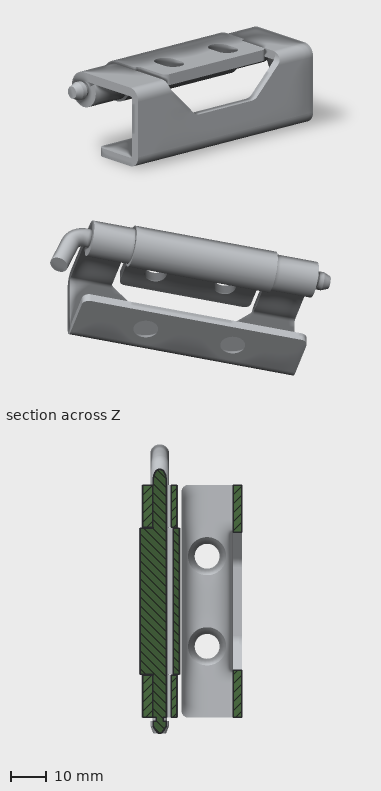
import cadquery as cq
import math

pin_radius = 2.6

bracket_thickness = 2.5
bracket_length = 65.15
bracket_knuckle_radius = pin_radius + bracket_thickness
bracket_end_angle = 29
web_outer_x = 23.0
flange_bottom_z = -17.9
flange_edge_x = 6.1
bend_outer_radius = 3.3
flange_corner_radius = 2.0
screw_x = 13.25
screw_spacing = 25.2
screw_radius = 3.5
countersink_radius = 5.3

opening_half_length = 20.6
window_bottom_z = -6.55
window_bottom_half_length = 11.0
window_side_angle = 45
window_fillet = 3.2

leaf_thickness = 3.2
leaf_half_length = 20.45
leaf_knuckle_radius = pin_radius + leaf_thickness
leaf_end_angle = 25
leaf_edge_x = 19.0
leaf_step_x = 7.9
leaf_narrow_half_length = 19.0
leaf_step_fillet = 0.65
leaf_corner_radius = 1.8
slot_x = 10.5
slot_length = 9.5
slot_width = 6.15
slot_spacing = 20.05

handle_bend_start_y = 33.5
handle_bend_radius = 5.0
handle_bend_angle = 70
handle_straight_length = 9.4
groove_radius = 2.0
head_start_y = -33.5
taper_start_y = -34.9
pin_tip_y = -36.9
pin_tip_radius = 1.8


def polar(radius, angle):
    return (radius * math.cos(math.radians(angle)), radius * math.sin(math.radians(angle)))


def extrude_along_y(profile, half_length):
    return profile.extrude(half_length, both=True)


def curled_plate(outer_radius, end_angle, edge_x, half_length):
    """Flat plate ending in a curl around the pin."""
    profile = (
        cq.Workplane("XZ")
        .moveTo(edge_x, outer_radius)
        .lineTo(0, outer_radius)
        .threePointArc(polar(outer_radius, 225), polar(outer_radius, end_angle))
        .lineTo(*polar(pin_radius, end_angle))
        .threePointArc(polar(pin_radius, 225), (0, pin_radius))
        .lineTo(edge_x, pin_radius)
        .close()
    )
    return extrude_along_y(profile, half_length)


def make_channel():
    """Web and lower flange, with the bent upper edge that joins the curled plate."""
    bend_inner_radius = bend_outer_radius - bracket_thickness
    bend_x = web_outer_x - bend_outer_radius
    upper_bend_z = bracket_knuckle_radius - bend_outer_radius
    lower_bend_z = flange_bottom_z + bend_outer_radius
    web_inner_x = web_outer_x - bracket_thickness
    profile = (
        cq.Workplane("XZ")
        .moveTo(bend_x, bracket_knuckle_radius)
        .radiusArc((web_outer_x, upper_bend_z), bend_outer_radius)
        .lineTo(web_outer_x, lower_bend_z)
        .radiusArc((bend_x, flange_bottom_z), bend_outer_radius)
        .lineTo(flange_edge_x, flange_bottom_z)
        .lineTo(flange_edge_x, flange_bottom_z + bracket_thickness)
        .lineTo(bend_x, flange_bottom_z + bracket_thickness)
        .radiusArc((web_inner_x, lower_bend_z), -bend_inner_radius)
        .lineTo(web_inner_x, upper_bend_z)
        .radiusArc((bend_x, pin_radius), -bend_inner_radius)
        .close()
    )
    channel = extrude_along_y(profile, bracket_length / 2)
    return channel.edges("|Z and <X").fillet(flange_corner_radius)


def make_leaf_opening():
    """Cutter that clears the curl and upper plate between the two knuckles."""
    left_x = -bracket_knuckle_radius
    right_x = web_outer_x - bracket_thickness
    height = 2 * bracket_knuckle_radius
    return cq.Workplane("XY").box(
        right_x - left_x, 2 * opening_half_length, height, centered=(False, True, True)
    ).translate((left_x, 0, 0))


def make_web_window():
    """Cutter for the web: vertical upper sides, sloping lower sides and a flat bottom."""
    side_run = opening_half_length - window_bottom_half_length
    slope_top_z = window_bottom_z + side_run * math.tan(math.radians(window_side_angle))
    top_z = bracket_knuckle_radius + window_fillet
    window_start_x = web_outer_x - bend_outer_radius
    return (
        cq.Workplane("YZ", origin=(window_start_x, 0, 0))
        .moveTo(-opening_half_length, top_z)
        .lineTo(-opening_half_length, slope_top_z)
        .lineTo(-window_bottom_half_length, window_bottom_z)
        .lineTo(window_bottom_half_length, window_bottom_z)
        .lineTo(opening_half_length, slope_top_z)
        .lineTo(opening_half_length, top_z)
        .close()
        .extrude(bend_outer_radius)
        .edges("|X and (not >Z)")
        .fillet(window_fillet)
    )


def make_countersink(y):
    """Conical screw hole through the lower flange, wide at the inner face."""
    return (
        cq.Workplane("XY", origin=(screw_x, y, flange_bottom_z))
        .circle(screw_radius)
        .workplane(offset=bracket_thickness)
        .circle(countersink_radius)
        .loft(ruled=True)
    )


def make_bracket():
    bend_x = web_outer_x - bend_outer_radius
    body = curled_plate(bracket_knuckle_radius, bracket_end_angle, bend_x, bracket_length / 2)
    body = body.union(make_channel())
    body = body.cut(make_leaf_opening()).cut(make_web_window())
    for side in (-1, 1):
        body = body.cut(make_countersink(side * screw_spacing / 2))
    return body


def make_leaf_outline():
    """Plan shape of the leaf: full length at the knuckle, stepped in towards the free edge."""
    left_x = -leaf_knuckle_radius
    outline = (
        cq.Workplane("XY", origin=(0, 0, -leaf_knuckle_radius))
        .moveTo(left_x, -leaf_half_length)
        .lineTo(leaf_step_x, -leaf_half_length)
        .lineTo(leaf_step_x, -leaf_narrow_half_length)
        .lineTo(leaf_edge_x, -leaf_narrow_half_length)
        .lineTo(leaf_edge_x, leaf_narrow_half_length)
        .lineTo(leaf_step_x, leaf_narrow_half_length)
        .lineTo(leaf_step_x, leaf_half_length)
        .lineTo(left_x, leaf_half_length)
        .close()
        .extrude(2 * leaf_knuckle_radius)
    )
    outline = outline.edges("|Z and >X").fillet(leaf_corner_radius)
    step_edges = cq.selectors.BoxSelector(
        (leaf_step_x - leaf_step_fillet, -bracket_length, -leaf_knuckle_radius),
        (leaf_step_x + leaf_step_fillet, bracket_length, leaf_knuckle_radius),
    )
    return outline.edges("|Z").edges(step_edges).fillet(leaf_step_fillet)


def make_leaf():
    leaf = curled_plate(leaf_knuckle_radius, leaf_end_angle, leaf_edge_x, leaf_half_length)
    slots = (
        cq.Workplane("XY", origin=(slot_x, 0, pin_radius))
        .pushPoints([(0, -slot_spacing / 2), (0, slot_spacing / 2)])
        .slot2D(slot_length, slot_width)
        .extrude(leaf_thickness)
    )
    return leaf.intersect(make_leaf_outline()).cut(slots)


def make_handle():
    """Round rod swept from the bracket end around the bend to the handle tip."""
    start_y = bracket_length / 2
    angle = math.radians(handle_bend_angle)

    def bend_point(turn):
        y = handle_bend_start_y + handle_bend_radius * math.sin(turn)
        return (y, handle_bend_radius * (math.cos(turn) - 1))

    bend_end_y, bend_end_z = bend_point(angle)
    tip_y = bend_end_y + handle_straight_length * math.cos(angle)
    tip_z = bend_end_z - handle_straight_length * math.sin(angle)
    path = (
        cq.Workplane("YZ")
        .moveTo(start_y, 0)
        .lineTo(handle_bend_start_y, 0)
        .threePointArc(bend_point(angle / 2), (bend_end_y, bend_end_z))
        .lineTo(tip_y, tip_z)
    )
    return cq.Workplane("XZ", origin=(0, start_y, 0)).circle(pin_radius).sweep(path)


def make_pin():
    face_y = bracket_length / 2
    shaft = (
        cq.Workplane("XY")
        .moveTo(0, face_y)
        .lineTo(pin_radius, face_y)
        .lineTo(pin_radius, -face_y)
        .lineTo(groove_radius, -face_y)
        .lineTo(groove_radius, head_start_y)
        .lineTo(pin_radius, head_start_y)
        .lineTo(pin_radius, taper_start_y)
        .lineTo(pin_tip_radius, pin_tip_y)
        .lineTo(0, pin_tip_y)
        .close()
        .revolve(360, (0, 0, 0), (0, 1, 0))
    )
    return shaft.union(make_handle())


def make_leaf_with_pin():
    return make_leaf().union(make_pin())


bracket = make_bracket()
leaf_with_pin = make_leaf_with_pin()

result = cq.Compound.makeCompound([bracket.solids().val(), leaf_with_pin.solids().val()])